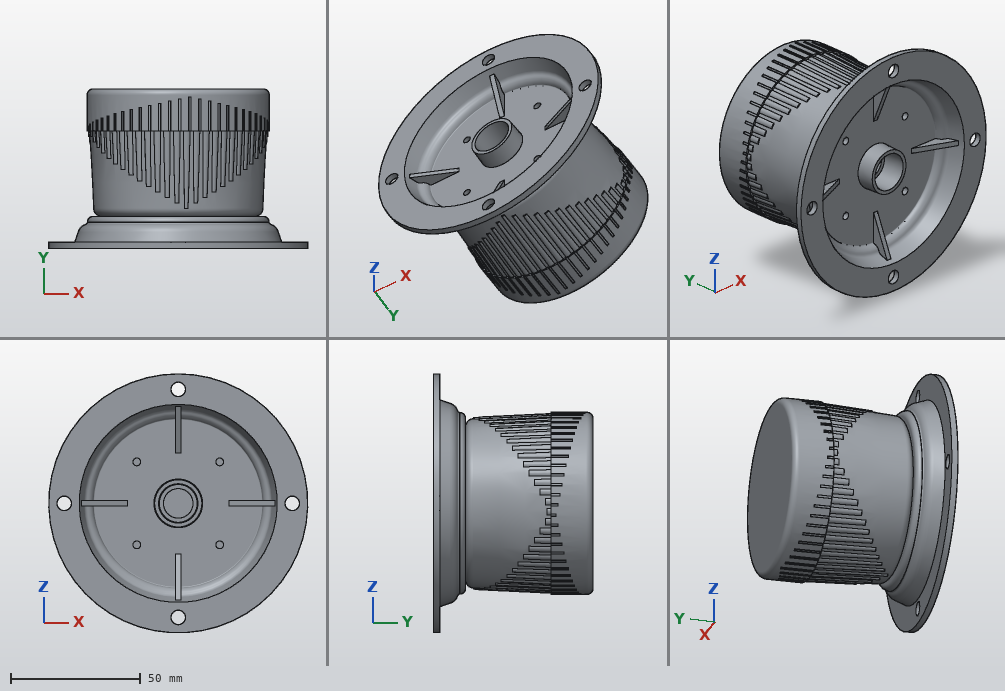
import cadquery as cq
import math


FLANGE_THICKNESS = 2.5
BASE_TOP = 12.5
CAP_BOTTOM = 45.5
CAP_TOP = 61.7

FLANGE_RADIUS = 50.0
WALL = 2.5
FLOOR_LEVEL = BASE_TOP - WALL
SKIRT_RADIUS = 40.0
SKIRT_TAPER = 19.0
SKIRT_TOP_RADIUS = 38.6
SHOULDER_ROUND = 4.6
COLLAR_RADIUS = 35.1
COLLAR_ROUND = 2.3
COLLAR_ROOT_ROUND = 0.9
FLOOR_CORNER_ROUND = 0.4

HUB_ROOT_RADIUS = 9.4
HUB_TIP_RADIUS = 9.1
BORE_MOUTH_RADIUS = 7.6
BORE_END_RADIUS = 7.3
GUSSET_WIDTH = 2.1
GUSSET_INNER_RADIUS = 19.5
FLOOR_HOLE_DIAMETER = 3.0
FLOOR_HOLE_SPACING = 32.0
FLANGE_HOLE_DIAMETER = 5.5
FLANGE_HOLE_CIRCLE_RADIUS = 44.0

BARREL_TOP_RADIUS = 34.3
BARREL_LOWER_RADIUS = 32.7
BARREL_EDGE_ROUND = 3.0
BARREL_HOLE_RADIUS = 5.7
BARREL_TURN = 5.5

MARK_COUNT = 56
MARKS_PER_QUARTER = MARK_COUNT // 4
MARK_PITCH = 360.0 / MARK_COUNT
RIB_AXIS_RADIUS = 32.6
RIB_TOP_ROUND = 2.1
RIB_TAPER_PER_LENGTH = 0.048
LONGEST_RIB = 30.0
SHORTEST_RIB = 1.6

CAP_RADIUS = 35.2
CAP_EDGE_ROUND = 2.5
CAP_TURN = 7.4
SLOT_WIDTH = 0.9
SLOT_DEPTH = 0.3
LONGEST_SLOT = 13.0
SLOT_LENGTH_STEP = 0.8


def revolve_about_y(profile):
    """Turn a closed profile, drawn as (Y, radius) points, around the Y axis."""
    return profile.close().revolve(360, (0, 0, 0), (1, 0, 0))


def turn(shape, angle):
    """Rotate a shape about the Y axis; positive angles go from +Z towards +X."""
    return shape.rotate((0, 0, 0), (0, 1, 0), angle)


def steps_from_longest(index):
    """Number of pitches from a grip mark to the nearest longest mark."""
    half_turn = MARK_COUNT // 2
    position = index % half_turn
    return min(position, half_turn - position)


def polar_point(center, radius, angle):
    """(Y, radius) point on a circle; the angle starts at the radial direction and turns to +Y."""
    a = math.radians(angle)
    return (center[0] + radius * math.sin(a), center[1] + radius * math.cos(a))


SKIRT_SLOPE = math.tan(math.radians(SKIRT_TAPER))
SKIRT_TOP = FLANGE_THICKNESS + (SKIRT_RADIUS - SKIRT_TOP_RADIUS) / SKIRT_SLOPE
SHOULDER_CENTER = polar_point((SKIRT_TOP, SKIRT_TOP_RADIUS), -SHOULDER_ROUND, SKIRT_TAPER)
ROOT_CENTER_RADIUS = COLLAR_RADIUS + COLLAR_ROOT_ROUND
SHOULDER_END_ANGLE = math.degrees(
    math.acos((ROOT_CENTER_RADIUS - SHOULDER_CENTER[1]) / (SHOULDER_ROUND + COLLAR_ROOT_ROUND))
)
ROOT_CENTER = polar_point(SHOULDER_CENTER, SHOULDER_ROUND + COLLAR_ROOT_ROUND, SHOULDER_END_ANGLE)
SHOULDER_MIDDLE_ANGLE = (SKIRT_TAPER + SHOULDER_END_ANGLE) / 2
ROOT_MIDDLE_ANGLE = (180 + 180 + SHOULDER_END_ANGLE) / 2


def base_blank():
    collar_center = (BASE_TOP - COLLAR_ROUND, COLLAR_RADIUS - COLLAR_ROUND)
    profile = (
        cq.Workplane("YZ")
        .moveTo(0, 0)
        .lineTo(0, FLANGE_RADIUS)
        .lineTo(FLANGE_THICKNESS, FLANGE_RADIUS)
        .lineTo(FLANGE_THICKNESS, SKIRT_RADIUS)
        .lineTo(SKIRT_TOP, SKIRT_TOP_RADIUS)
        .threePointArc(
            polar_point(SHOULDER_CENTER, SHOULDER_ROUND, SHOULDER_MIDDLE_ANGLE),
            polar_point(SHOULDER_CENTER, SHOULDER_ROUND, SHOULDER_END_ANGLE),
        )
        .threePointArc(
            polar_point(ROOT_CENTER, COLLAR_ROOT_ROUND, ROOT_MIDDLE_ANGLE),
            (ROOT_CENTER[0], COLLAR_RADIUS),
        )
        .lineTo(collar_center[0], COLLAR_RADIUS)
        .threePointArc(
            polar_point(collar_center, COLLAR_ROUND, 45),
            (BASE_TOP, collar_center[1]),
        )
        .lineTo(BASE_TOP, 0)
    )
    return revolve_about_y(profile)


def base_cavity():
    """Hollow of the base, one wall thickness inside its outer surface."""
    inner_round = SHOULDER_ROUND - WALL
    root_round = COLLAR_ROOT_ROUND + WALL
    skirt_end = polar_point(SHOULDER_CENTER, inner_round, SKIRT_TAPER)
    mouth_radius = skirt_end[1] + skirt_end[0] * SKIRT_SLOPE
    corner_start = FLOOR_LEVEL - FLOOR_CORNER_ROUND
    neck_angle = 180 + math.degrees(math.asin((ROOT_CENTER[0] - corner_start) / root_round))
    neck = polar_point(ROOT_CENTER, root_round, neck_angle)
    corner_center = (corner_start, neck[1] - FLOOR_CORNER_ROUND)
    profile = (
        cq.Workplane("YZ")
        .moveTo(0, 0)
        .lineTo(0, mouth_radius)
        .lineTo(*skirt_end)
        .threePointArc(
            polar_point(SHOULDER_CENTER, inner_round, SHOULDER_MIDDLE_ANGLE),
            polar_point(SHOULDER_CENTER, inner_round, SHOULDER_END_ANGLE),
        )
        .threePointArc(
            polar_point(ROOT_CENTER, root_round, (180 + SHOULDER_END_ANGLE + neck_angle) / 2),
            neck,
        )
        .threePointArc(
            polar_point(corner_center, FLOOR_CORNER_ROUND, 45),
            (FLOOR_LEVEL, corner_center[1]),
        )
        .lineTo(FLOOR_LEVEL, 0)
    )
    return revolve_about_y(profile)


def hub():
    profile = (
        cq.Workplane("YZ")
        .moveTo(FLANGE_THICKNESS, 0)
        .lineTo(FLANGE_THICKNESS, HUB_TIP_RADIUS)
        .lineTo(FLOOR_LEVEL, HUB_ROOT_RADIUS)
        .lineTo(FLOOR_LEVEL, 0)
    )
    return revolve_about_y(profile)


def hub_bore():
    profile = (
        cq.Workplane("YZ")
        .moveTo(FLANGE_THICKNESS, 0)
        .lineTo(FLANGE_THICKNESS, BORE_MOUTH_RADIUS)
        .lineTo(BASE_TOP, BORE_END_RADIUS)
        .lineTo(BASE_TOP, 0)
    )
    return revolve_about_y(profile)


def gussets():
    """Four triangular plates that rise from the floor out to the skirt."""
    foot_radius = SKIRT_RADIUS - WALL / math.cos(math.radians(SKIRT_TAPER))
    plate = (
        cq.Workplane("YZ")
        .moveTo(FLOOR_LEVEL, GUSSET_INNER_RADIUS)
        .lineTo(FLANGE_THICKNESS, foot_radius)
        .lineTo(SKIRT_TOP, foot_radius)
        .lineTo(FLOOR_LEVEL, COLLAR_RADIUS - WALL)
        .close()
        .extrude(GUSSET_WIDTH / 2, both=True)
    )
    return [turn(plate, angle) for angle in (0, 90, 180, 270)]


def make_base():
    base = base_blank().cut(base_cavity()).union(hub()).cut(hub_bore())
    for gusset in gussets():
        base = base.union(gusset)
    floor_holes = (
        cq.Workplane("XZ")
        .rect(FLOOR_HOLE_SPACING, FLOOR_HOLE_SPACING, forConstruction=True)
        .vertices()
        .circle(FLOOR_HOLE_DIAMETER / 2)
        .extrude(-BASE_TOP)
    )
    flange_holes = (
        cq.Workplane("XZ")
        .polarArray(FLANGE_HOLE_CIRCLE_RADIUS, 0, 360, 4)
        .circle(FLANGE_HOLE_DIAMETER / 2)
        .extrude(-FLANGE_THICKNESS)
    )
    return base.cut(floor_holes).cut(flange_holes)


def barrel_rib(index):
    """Tapered round rib that is partly sunk in the barrel and runs down from the cap."""
    fraction = 1 - steps_from_longest(index) / MARKS_PER_QUARTER
    length = max(LONGEST_RIB * fraction, SHORTEST_RIB)
    rib = cq.Solid.makeCone(
        RIB_TOP_ROUND,
        RIB_TOP_ROUND - RIB_TAPER_PER_LENGTH * length,
        length,
        pnt=cq.Vector(0, CAP_BOTTOM, RIB_AXIS_RADIUS),
        dir=cq.Vector(0, -1, 0),
    )
    return turn(rib, index * MARK_PITCH)


def make_barrel():
    lower_end = BASE_TOP + BARREL_EDGE_ROUND
    slope = (BARREL_TOP_RADIUS - BARREL_LOWER_RADIUS) / (CAP_BOTTOM - lower_end)
    profile = (
        cq.Workplane("YZ")
        .moveTo(BASE_TOP, BARREL_HOLE_RADIUS)
        .lineTo(BASE_TOP, BARREL_LOWER_RADIUS - slope * BARREL_EDGE_ROUND)
        .lineTo(CAP_BOTTOM, BARREL_TOP_RADIUS)
        .lineTo(CAP_BOTTOM, BARREL_HOLE_RADIUS)
    )
    barrel = revolve_about_y(profile)
    barrel = barrel.faces("<Y").edges("%CIRCLE").edges(cq.selectors.RadiusNthSelector(-1))
    barrel = barrel.fillet(BARREL_EDGE_ROUND).val()
    ribs = [barrel_rib(index) for index in range(MARK_COUNT)]
    return turn(barrel.fuse(*ribs), BARREL_TURN)


def cap_slot(index):
    """Shallow slot that opens at the lower edge of the cap."""
    length = LONGEST_SLOT - SLOT_LENGTH_STEP * steps_from_longest(index)
    slot = cq.Solid.makeBox(
        SLOT_WIDTH,
        length,
        2 * SLOT_DEPTH,
        pnt=cq.Vector(-SLOT_WIDTH / 2, CAP_BOTTOM, CAP_RADIUS - SLOT_DEPTH),
    )
    return turn(slot, index * MARK_PITCH)


def make_cap():
    profile = (
        cq.Workplane("YZ")
        .moveTo(CAP_BOTTOM, 0)
        .lineTo(CAP_BOTTOM, CAP_RADIUS)
        .lineTo(CAP_TOP, CAP_RADIUS)
        .lineTo(CAP_TOP, 0)
    )
    cap = revolve_about_y(profile).faces(">Y").edges().fillet(CAP_EDGE_ROUND).val()
    slots = [cap_slot(index) for index in range(MARK_COUNT)]
    return turn(cap.cut(*slots), CAP_TURN)


base = make_base()
barrel = make_barrel()
cap = make_cap()

result = cq.Compound.makeCompound([base.val(), *barrel.Solids(), *cap.Solids()])